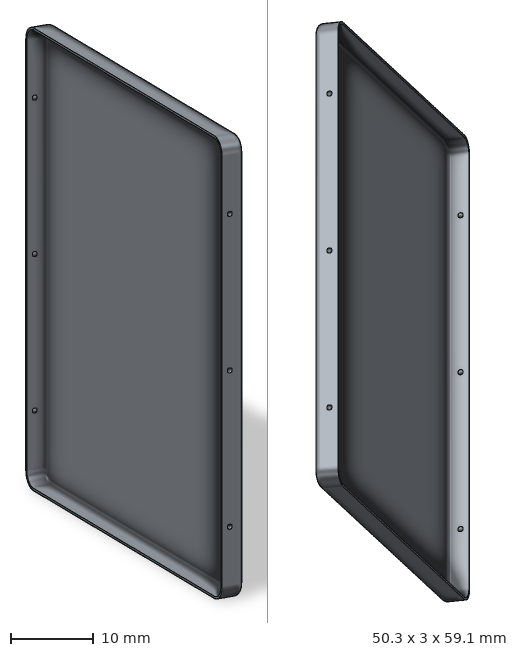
import cadquery as cq

height = 59.1
width = 50.3
depth = 3.0
wall = 0.3
floor = 0.3
corner_radius = 2.0
outer_edge_radius = 0.75
inner_edge_radius = outer_edge_radius - wall

dimple_rim_radius = 0.325
dimple_depth = 0.25
dimple_ball_radius = (dimple_rim_radius**2 + dimple_depth**2) / (2 * dimple_depth)
dimple_from_rim = 1.05
dimple_pitch = 20.0


def rounded_block(size_x, size_z, radius, thickness, back_y, edge_radius):
    """Block with rounded corners and a rounded +Y edge, ending at back_y."""
    block = cq.Workplane("XY").box(size_x, thickness, size_z)
    block = block.edges("|Y").fillet(radius)
    block = block.faces(">Y").edges().fillet(edge_radius)
    return block.translate((0, back_y - thickness / 2, 0))


def dimple_ball(x, z):
    """Sphere that forms a dimple, centred at the dimple distance behind the rim."""
    y = dimple_from_rim - depth / 2
    return cq.Workplane("XY").sphere(dimple_ball_radius).translate((x, y, z))


def make_tray():
    shell = rounded_block(width, height, corner_radius, depth, depth / 2, outer_edge_radius)
    cavity = rounded_block(
        width - 2 * wall,
        height - 2 * wall,
        corner_radius - wall,
        depth - floor,
        depth / 2 - floor,
        inner_edge_radius,
    )
    return shell.cut(cavity)


def add_snap_dimples(tray):
    """Press each dimple into the outer face and raise a matching bump on the inner face."""
    dimple_x = width / 2 + dimple_ball_radius - dimple_depth
    bump_x = dimple_x - wall
    envelope = cq.Workplane("XY").box(width - wall, depth, height)
    for side in (-1, 1):
        for row in (-1, 0, 1):
            z = row * dimple_pitch
            bump = dimple_ball(side * bump_x, z).intersect(envelope)
            tray = tray.union(bump, clean=False)
            tray = tray.cut(dimple_ball(side * dimple_x, z), clean=False)
    return tray


result = add_snap_dimples(make_tray())